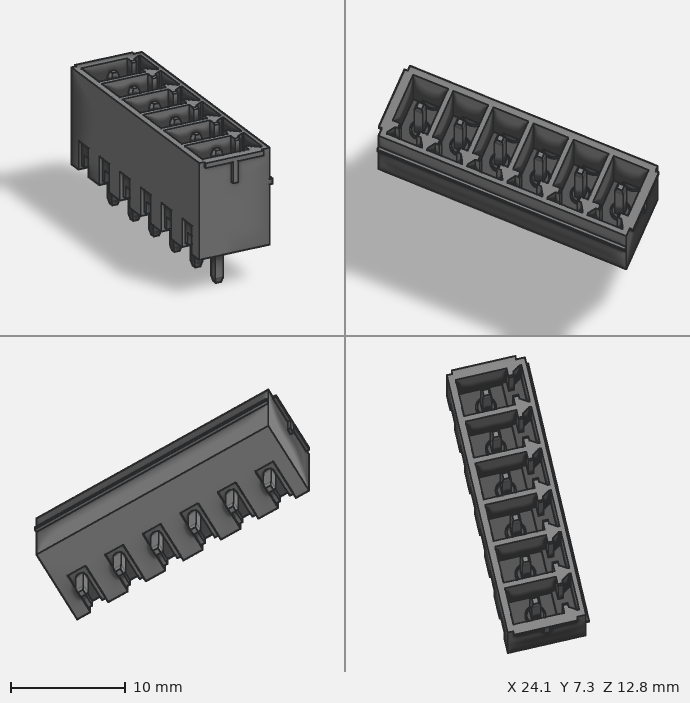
import cadquery as cq


pin_count = 6
pin_row_length = 19.05
total_length = 24.15
total_height = 12.8
total_depth = 7.3

body_length = 23.53
body_depth = 7.0
body_height = 9.25
front_y = -body_depth / 2
back_y = body_depth / 2
pitch = pin_row_length / (pin_count - 1)
pin_y = front_y + 3.0
pin_positions = [i * pitch - pin_row_length / 2 for i in range(pin_count)]

flange_height = 0.45
flange_width = 5.73
flange_y = front_y + 3.35
stem_width = 0.5
stem_height = 2.5
stem_y = front_y + 3.45
rib_depth = total_depth - body_depth
rib_height = 0.5
rib_bottom = 5.75

pocket_width = 3.3
front_wall = 0.65
back_wall = 0.45
pocket_front = front_y + front_wall
pocket_back = back_y - back_wall
pocket_floor = 2.42
ledge_front = front_y + 4.8
ledge_height = 0.72

clip_front = front_y + 5.22
clip_back = front_y + 5.7
clip_gap = 1.65
clip_lead_in = 0.15
web_back = front_y + 6.38
web_width = 0.43

bump_radius = 1.2
bump_reach = 0.3
bump_height = 0.72
bump_drop = 0.22

collar_diameter = 1.8
collar_top_diameter = 1.5
collar_height = (collar_diameter - collar_top_diameter) / 2

pin_width = 0.8
tip_width = 0.5
tip_height = 0.53
pin_head_clearance = 0.17
pin_bottom = body_height - total_height
pin_top = body_height - pin_head_clearance

relief_width = 1.8
relief_height = 2.75
relief_depth = 0.35
channel_height = 0.31
channel_depth = 3.95
slot_width = 1.0
slot_height = 1.45


def block(x0, x1, y0, y1, z0, z1):
    """Axis-aligned block between two opposite corners."""
    return cq.Workplane("XY").box(x1 - x0, y1 - y0, z1 - z0, centered=False).translate((x0, y0, z0))


def centred_block(width, y0, y1, z0, z1):
    """Block of the given X width, symmetric about X = 0."""
    return block(-width / 2, width / 2, y0, y1, z0, z1)


def make_shell():
    """Housing block with its T-shaped end flanges and the rib along its back."""
    shell = centred_block(body_length, front_y, back_y, 0, body_height)
    rib = centred_block(body_length, back_y, back_y + rib_depth, rib_bottom, rib_bottom + rib_height)
    flange = centred_block(
        total_length,
        flange_y - flange_width / 2,
        flange_y + flange_width / 2,
        body_height - flange_height,
        body_height,
    )
    stem = centred_block(
        total_length,
        stem_y - stem_width / 2,
        stem_y + stem_width / 2,
        body_height - stem_height,
        body_height,
    )
    return shell.union(rib).union(flange).union(stem)


def make_clip():
    """Left-hand clip of a pocket: a hook with a diagonal web and a lead-in chamfer at its top."""
    wall = -pocket_width / 2
    tip = -clip_gap / 2
    outline = [
        (wall, clip_front),
        (tip, clip_front),
        (tip, clip_back),
        (wall + web_width, clip_back),
        (wall, web_back),
    ]
    clip = (
        cq.Workplane("XY")
        .workplane(offset=pocket_floor)
        .polyline(outline)
        .close()
        .extrude(body_height - pocket_floor)
    )
    return clip.faces(">X").edges(">Z").chamfer(clip_lead_in)


def make_bump():
    """Segment of a cylinder on the front wall, with its top sloping down into the pocket."""
    top = pocket_floor + bump_height
    bump_end = pocket_front + bump_reach
    cylinder = (
        cq.Workplane("XY")
        .workplane(offset=pocket_floor)
        .center(0, bump_end - bump_radius)
        .circle(bump_radius)
        .extrude(bump_height)
    )
    profile = [
        (pocket_front, pocket_floor),
        (pocket_front, top),
        (bump_end, top - bump_drop),
        (bump_end, pocket_floor),
    ]
    envelope = cq.Workplane("YZ").polyline(profile).close().extrude(bump_radius, both=True)
    return cylinder.intersect(envelope)


def make_pocket():
    """Volume removed for one pocket, leaving its ledge, clips and bump standing."""
    pocket = centred_block(pocket_width, pocket_front, pocket_back, pocket_floor, body_height)
    ledge = centred_block(
        pocket_width, ledge_front, pocket_back, pocket_floor, pocket_floor + ledge_height
    )
    clip = make_clip()
    return pocket.cut(ledge).cut(clip).cut(clip.mirror("YZ")).cut(make_bump())


def make_underside_opening():
    """Relief in the front wall, shallow wide channel and narrow slot round one pin."""
    relief = centred_block(relief_width, front_y, front_y + relief_depth, 0, relief_height)
    channel = centred_block(relief_width, front_y, front_y + channel_depth, 0, channel_height)
    slot = centred_block(slot_width, front_y, pin_y, 0, slot_height)
    slot_end = cq.Workplane("XY").center(0, pin_y).circle(slot_width / 2).extrude(slot_height)
    return relief.union(channel).union(slot).union(slot_end)


def taper(base_width, end_width, base_z, end_z):
    """Square frustum along Z, centred on the pin axis."""
    return (
        cq.Workplane("XY", origin=(0, pin_y, base_z))
        .rect(base_width, base_width)
        .workplane(offset=end_z - base_z)
        .rect(end_width, end_width)
        .loft(ruled=True)
    )


def make_pin():
    """Square pin tapered at both ends, with the conical collar on the pocket floor."""
    shank_bottom = pin_bottom + tip_height
    shank_top = pin_top - tip_height
    shank = centred_block(
        pin_width, pin_y - pin_width / 2, pin_y + pin_width / 2, shank_bottom, shank_top
    )
    foot = taper(pin_width, tip_width, shank_bottom, pin_bottom)
    head = taper(pin_width, tip_width, shank_top, pin_top)
    collar = (
        cq.Workplane("XY", origin=(0, pin_y, pocket_floor))
        .circle(collar_diameter / 2)
        .workplane(offset=collar_height)
        .circle(collar_top_diameter / 2)
        .loft(ruled=True)
    )
    return shank.union(foot).union(head).union(collar)


pocket = make_pocket()
underside_opening = make_underside_opening()
pin = make_pin()

result = make_shell()
for pin_x in pin_positions:
    shift = (pin_x, 0, 0)
    result = result.cut(pocket.translate(shift))
    result = result.cut(underside_opening.translate(shift))
    result = result.union(pin.translate(shift))